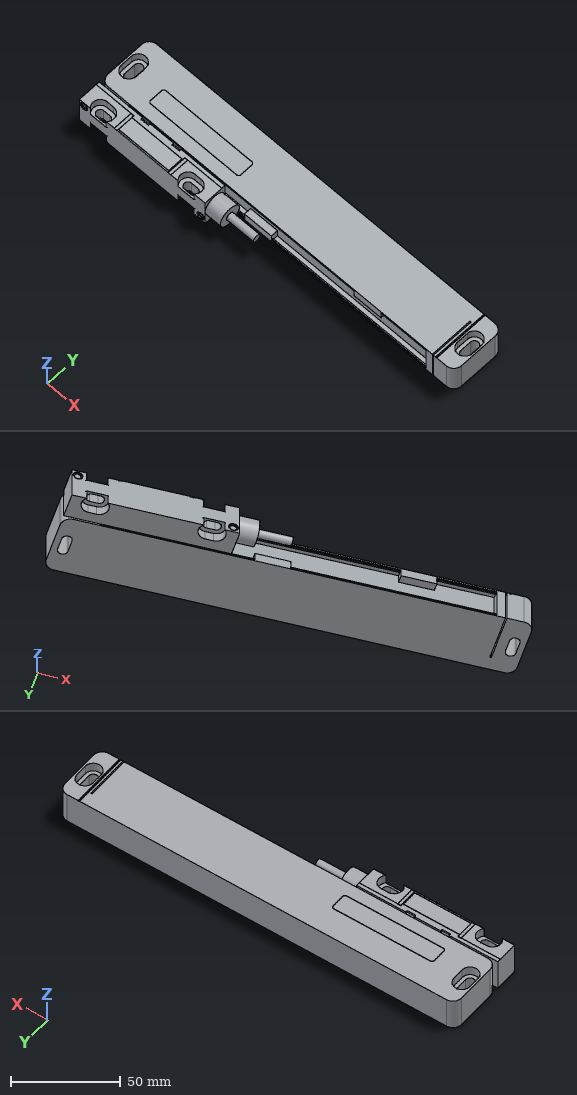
import cadquery as cq

LENGTH = 225.0
DEPTH = 46.0
HEIGHT = 18.0

HOUSING_DEPTH = 32.0
HOUSING_FRONT = DEPTH - HOUSING_DEPTH
HOUSING_MID_Y = DEPTH - HOUSING_DEPTH / 2
CORNER_RADIUS = 5.0

MOUNT_INSET = 5.6
MOUNT_STRAIGHT = 6.3
MOUNT_HOLE_RADIUS = 2.5
MOUNT_BORE_RADIUS = 4.5
MOUNT_BORE_DEPTH = 5.2

NAMEPLATE_START = 23.8
NAMEPLATE_LENGTH = 57.4
NAMEPLATE_WIDTH = 10.0
NAMEPLATE_FRONT = 21.0
NAMEPLATE_RADIUS = 1.4
PLATE_RECESS = 0.2

CHANNEL_INSET = 18.0
CHANNEL_LENGTH = LENGTH - 2 * CHANNEL_INSET
CHANNEL_DEPTH = 4.0
CHANNEL_WALL = 0.7
MOUTH_WALL = 1.1
LIP_WALL = 1.8
LIP_THICKNESS = 0.7
LIP_SETBACK = 0.5

TAB_LENGTH = 17.0
TAB_HEIGHT = 5.2
TOP_TAB_START = 161.3
BOTTOM_TAB_START = 91.5

SLIT_WIDTH = 0.7
SLIT_CENTRE = 211.5
SLIT_LENGTH = 24.8
CAP_SEAM_CENTRE = 213.5
CAP_SEAM_DEPTH = 0.2

READER_LENGTH = 80.0
READER_DEPTH = 13.0

SCREW_SLOT_CENTRES = (12.2, 68.0)
SCREW_SLOT_Y = 3.4
SCREW_SLOT_STRAIGHT = 4.0
SCREW_HOLE_RADIUS = 2.2
SCREW_BORE_RADIUS = 4.5
SCREW_BORE_DEPTH = 5.2

SET_SCREW_INSET_X = 3.0
SET_SCREW_INSET_Z = 3.4
SET_SCREW_RADIUS = 2.2
SET_SCREW_DEPTH = 0.7
SET_SCREW_TIP_RADIUS = 1.5
SET_SCREW_TIP_DEPTH = 1.5

LABEL_START = 24.0
LABEL_LENGTH = 32.0
LABEL_FRONT = 1.0
LABEL_BACK = 9.7

PAD_DEPTH = 11.0
PAD_DROP = 0.11
LEFT_PAD_END = 24.0
RIGHT_PAD_START = 56.5
PAD_GROOVE_WIDTH = 1.8
PAD_GROOVE_DROP = 0.34

NOTCH_STARTS = (27.7, 47.5)
NOTCH_LENGTH = 4.7
NOTCH_DEPTH = 1.1
NOTCH_HEIGHT = 1.1

GLAND_LENGTH = 9.7
GLAND_RADIUS = 6.3
CABLE_LENGTH = 17.0
CABLE_RADIUS = 2.2
CABLE_Y = GLAND_RADIUS
CABLE_Z = 10.1


def block(x, y, z, length, depth, height):
    """Axis-aligned box placed by its lowest corner."""
    return cq.Workplane("XY").box(length, depth, height, centered=False).translate((x, y, z))


def slot(x, y, z, straight, radius, height, angle=0):
    """Upright round-ended slot that starts at height z."""
    return (
        cq.Workplane("XY", origin=(x, y, z))
        .slot2D(straight + 2 * radius, 2 * radius, angle)
        .extrude(height)
    )


def housing_mount(x):
    """Counterbored slot through an end of the housing."""
    hole = slot(x, HOUSING_MID_Y, 0, MOUNT_STRAIGHT, MOUNT_HOLE_RADIUS, HEIGHT, 90)
    bore_floor = HEIGHT - MOUNT_BORE_DEPTH
    bore = slot(x, HOUSING_MID_Y, bore_floor, MOUNT_STRAIGHT, MOUNT_BORE_RADIUS, MOUNT_BORE_DEPTH, 90)
    return hole.union(bore)


def channel_layer(setback, depth, wall):
    """Slice of the front channel with the given wall left above and below it."""
    return block(CHANNEL_INSET, HOUSING_FRONT + setback, wall, CHANNEL_LENGTH, depth, HEIGHT - 2 * wall)


def housing_channel():
    """Front channel with a pair of lips behind its mouth and two tabs left standing in it."""
    lip_back = LIP_SETBACK + LIP_THICKNESS
    channel = channel_layer(0, LIP_SETBACK, MOUTH_WALL)
    channel = channel.union(channel_layer(LIP_SETBACK, LIP_THICKNESS, LIP_WALL))
    channel = channel.union(channel_layer(lip_back, CHANNEL_DEPTH - lip_back, CHANNEL_WALL))
    top_tab = block(
        TOP_TAB_START, HOUSING_FRONT, HEIGHT - TAB_HEIGHT, TAB_LENGTH, CHANNEL_DEPTH, TAB_HEIGHT
    )
    bottom_tab = block(BOTTOM_TAB_START, HOUSING_FRONT, 0, TAB_LENGTH, CHANNEL_DEPTH, TAB_HEIGHT)
    return channel.cut(top_tab).cut(bottom_tab)


def housing_nameplate():
    """Shallow rounded recess in the top for the nameplate."""
    z = HEIGHT - PLATE_RECESS
    plate = block(NAMEPLATE_START, NAMEPLATE_FRONT, z, NAMEPLATE_LENGTH, NAMEPLATE_WIDTH, PLATE_RECESS)
    return plate.edges("|Z").fillet(NAMEPLATE_RADIUS)


def housing_slit():
    """Full-height slit beside the right end cap, open at the front."""
    return block(SLIT_CENTRE - SLIT_WIDTH / 2, HOUSING_FRONT, 0, SLIT_WIDTH, SLIT_LENGTH, HEIGHT)


def cap_seam():
    """Shallow groove across the top where the right end cap starts."""
    x = CAP_SEAM_CENTRE - SLIT_WIDTH / 2
    return block(x, HOUSING_FRONT, HEIGHT - CAP_SEAM_DEPTH, SLIT_WIDTH, HOUSING_DEPTH, CAP_SEAM_DEPTH)


def make_housing():
    """Long scale housing with a mounting slot at each end."""
    body = block(0, HOUSING_FRONT, 0, LENGTH, HOUSING_DEPTH, HEIGHT)
    body = body.edges("|Z").fillet(CORNER_RADIUS)
    for x in (MOUNT_INSET, LENGTH - MOUNT_INSET):
        body = body.cut(housing_mount(x))
    body = body.cut(housing_nameplate())
    body = body.cut(housing_channel())
    return body.cut(housing_slit()).cut(cap_seam())


def reader_screw_slot(x):
    """Through slot with an open-fronted counterbore at its top and bottom."""
    cutter = slot(x, SCREW_SLOT_Y, 0, SCREW_SLOT_STRAIGHT, SCREW_HOLE_RADIUS, HEIGHT)
    for z in (0, HEIGHT - SCREW_BORE_DEPTH):
        cutter = cutter.union(
            slot(x, SCREW_SLOT_Y, z, SCREW_SLOT_STRAIGHT, SCREW_BORE_RADIUS, SCREW_BORE_DEPTH)
        )
    return cutter


def set_screw_hole(x, z):
    """Shallow round hole in the front face with a smaller conical point behind it."""
    inward = cq.Vector(0, 1, 0)
    recess = cq.Solid.makeCylinder(SET_SCREW_RADIUS, SET_SCREW_DEPTH, cq.Vector(x, 0, z), inward)
    floor_centre = cq.Vector(x, SET_SCREW_DEPTH, z)
    point = cq.Solid.makeCone(SET_SCREW_TIP_RADIUS, 0, SET_SCREW_TIP_DEPTH, floor_centre, inward)
    return cq.Workplane(recess).union(cq.Workplane(point))


def sunken_area(start, end, drop):
    """Shallow cut into the top of the reader, from its front face back to the pad edge."""
    return block(start, 0, HEIGHT - drop, end - start, PAD_DEPTH, drop)


def reader_pads():
    """Shallow screw pads at both ends of the top, each with a groove at its inner end."""
    left_pad = sunken_area(0, LEFT_PAD_END, PAD_DROP)
    left_groove = sunken_area(LEFT_PAD_END - PAD_GROOVE_WIDTH, LEFT_PAD_END, PAD_GROOVE_DROP)
    right_pad = sunken_area(RIGHT_PAD_START, READER_LENGTH, PAD_DROP)
    right_groove = sunken_area(RIGHT_PAD_START, RIGHT_PAD_START + PAD_GROOVE_WIDTH, PAD_GROOVE_DROP)
    return left_pad.union(left_groove).union(right_pad).union(right_groove)


def rod(x, radius, length):
    """Round bar along X on the cable axis."""
    return cq.Workplane("YZ", origin=(x, CABLE_Y, CABLE_Z)).circle(radius).extrude(length)


def reader_label():
    """Shallow rectangular recess for the label between the screw pads."""
    width = LABEL_BACK - LABEL_FRONT
    return block(LABEL_START, LABEL_FRONT, HEIGHT - PLATE_RECESS, LABEL_LENGTH, width, PLATE_RECESS)


def back_notch(x):
    """Small notch in the top back edge."""
    y = READER_DEPTH - NOTCH_DEPTH
    return block(x, y, HEIGHT - NOTCH_HEIGHT, NOTCH_LENGTH, NOTCH_DEPTH, NOTCH_HEIGHT)


def make_reader():
    """Reader head with its cable gland and the stub of cable."""
    body = block(0, 0, 0, READER_LENGTH, READER_DEPTH, HEIGHT)
    for x in SCREW_SLOT_CENTRES:
        body = body.cut(reader_screw_slot(x))
    body = body.cut(set_screw_hole(SET_SCREW_INSET_X, HEIGHT - SET_SCREW_INSET_Z))
    body = body.cut(set_screw_hole(READER_LENGTH - SET_SCREW_INSET_X, SET_SCREW_INSET_Z))
    body = body.cut(reader_label())
    body = body.cut(reader_pads())
    for x in NOTCH_STARTS:
        body = body.cut(back_notch(x))
    gland = rod(READER_LENGTH, GLAND_RADIUS, GLAND_LENGTH)
    cable = rod(READER_LENGTH + GLAND_LENGTH, CABLE_RADIUS, CABLE_LENGTH)
    return body.union(gland).union(cable)


housing = make_housing()
reader = make_reader()
result = cq.Compound.makeCompound([housing.val(), reader.val()])